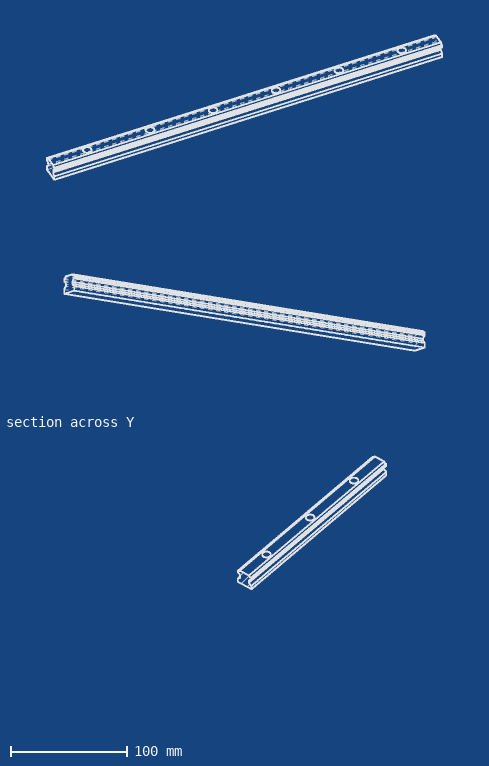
import cadquery as cq
import math

RAIL_LENGTH = 370.0
RAIL_WIDTH = 15.0
RAIL_HEIGHT = 15.0

TOP_FACE_WIDTH = 10.2
NECK_WIDTH = 9.8
BASE_EDGE_HEIGHT = 4.0
NECK_BOTTOM_HEIGHT = 6.4
NECK_TOP_HEIGHT = 8.2
HEAD_EDGE_BOTTOM = 11.4
HEAD_EDGE_TOP = 12.9

TRACK_SAG = 0.4
RIM_BEVEL_HEIGHT = 0.6

HOLE_COUNT = 6
HOLE_PITCH = 60.0
HOLE_DIAMETER = 7.5
RECESS_DEPTH = 0.2


def track_midpoint(start, end):
    """Return the deepest point of a ball track, on the inner side of its chord."""
    run = end[0] - start[0]
    rise = end[1] - start[1]
    chord = math.hypot(run, rise)
    middle_x = (start[0] + end[0]) / 2
    middle_z = (start[1] + end[1]) / 2
    return (middle_x - TRACK_SAG * rise / chord, middle_z + TRACK_SAG * run / chord)


def half_section():
    """Return the right half of the waisted section, standing on the XZ plane."""
    half_width = RAIL_WIDTH / 2
    half_neck = NECK_WIDTH / 2
    half_top = TOP_FACE_WIDTH / 2
    bevel_width = RIM_BEVEL_HEIGHT / 2
    lower_track_start = (half_neck + bevel_width, NECK_TOP_HEIGHT + RIM_BEVEL_HEIGHT)
    lower_track_end = (half_width - bevel_width, HEAD_EDGE_BOTTOM - RIM_BEVEL_HEIGHT)
    upper_track_start = (half_width - bevel_width, HEAD_EDGE_TOP + RIM_BEVEL_HEIGHT)
    upper_track_end = (half_top + bevel_width, RAIL_HEIGHT - RIM_BEVEL_HEIGHT)
    return (
        cq.Workplane("XZ")
        .lineTo(half_width, 0)
        .lineTo(half_width, BASE_EDGE_HEIGHT)
        .lineTo(half_neck, NECK_BOTTOM_HEIGHT)
        .lineTo(half_neck, NECK_TOP_HEIGHT)
        .lineTo(*lower_track_start)
        .threePointArc(track_midpoint(lower_track_start, lower_track_end), lower_track_end)
        .lineTo(half_width, HEAD_EDGE_BOTTOM)
        .lineTo(half_width, HEAD_EDGE_TOP)
        .lineTo(*upper_track_start)
        .threePointArc(track_midpoint(upper_track_start, upper_track_end), upper_track_end)
        .lineTo(half_top, RAIL_HEIGHT)
        .lineTo(0, RAIL_HEIGHT)
    )


def rail_body():
    """Extrude the full section along Y, centred on the origin in X and Y."""
    return half_section().mirrorY().extrude(RAIL_LENGTH / 2, both=True)


def cut_hole_recesses(body):
    """Sink the evenly spaced hole recesses into the top face."""
    recesses = (
        cq.Workplane("XY")
        .workplane(offset=RAIL_HEIGHT - RECESS_DEPTH)
        .rarray(1, HOLE_PITCH, 1, HOLE_COUNT)
        .circle(HOLE_DIAMETER / 2)
        .extrude(RECESS_DEPTH)
    )
    return body.cut(recesses)


result = cut_hole_recesses(rail_body())